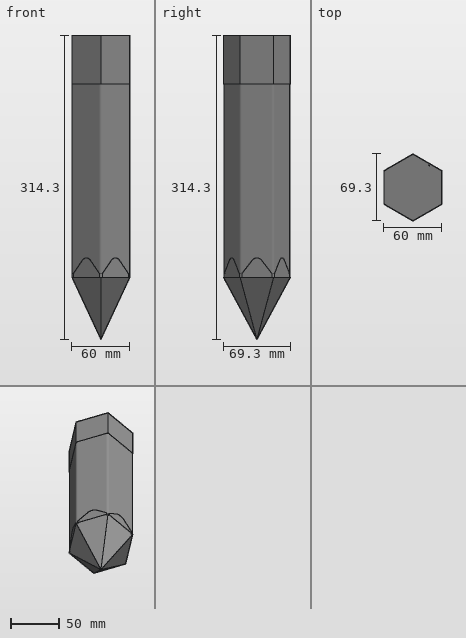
import cadquery as cq
import math

across_flats = 60.0
across_corners = across_flats / math.cos(math.radians(30))
apothem = across_flats / 2
corner_radius = across_corners / 2

point_height = 64.34
barrel_length = 200.0
cap_height = 50.0

edge_fillet = 3.0

flat_width = corner_radius - 2 * edge_fillet * math.tan(math.radians(30))
tongue_thickness = 2.0
tongue_shoulder = 3.8
tongue_slope = math.radians(52)
tongue_peak_radius = 6.0


def hexagon(bottom):
    """Hexagon sketch at height `bottom`, turned so that two flats are normal to X."""
    return (
        cq.Workplane("XY")
        .workplane(offset=bottom)
        .transformed(rotate=(0, 0, 90))
        .polygon(6, across_corners)
    )


def make_tongues():
    """Six arched tongues, each as wide as the flat between two rounded edges."""
    half_width = flat_width / 2
    flank_apex = tongue_shoulder + half_width * math.tan(tongue_slope)
    arc_center = flank_apex - tongue_peak_radius / math.cos(tongue_slope)
    arc_end_y = tongue_peak_radius * math.sin(tongue_slope)
    arc_end_z = arc_center + tongue_peak_radius * math.cos(tongue_slope)
    tongue = (
        cq.Workplane("YZ")
        .workplane(offset=apothem - tongue_thickness)
        .moveTo(-half_width, 0)
        .lineTo(half_width, 0)
        .lineTo(half_width, tongue_shoulder)
        .lineTo(arc_end_y, arc_end_z)
        .threePointArc((0, arc_center + tongue_peak_radius), (-arc_end_y, arc_end_z))
        .lineTo(-half_width, tongue_shoulder)
        .close()
        .extrude(tongue_thickness)
    )
    return [tongue.rotate((0, 0, 0), (0, 0, 1), 60 * i) for i in range(6)]


def make_point(tongues):
    """Sharp hexagonal pyramid pointing down, with the tongues standing on its base."""
    corners = [
        cq.Vector(
            corner_radius * math.cos(math.radians(30 + 60 * i)),
            corner_radius * math.sin(math.radians(30 + 60 * i)),
            0,
        )
        for i in range(6)
    ]
    apex = cq.Vector(0, 0, -point_height)
    faces = [cq.Face.makeFromWires(cq.Wire.makePolygon(corners, close=True))]
    for i in range(6):
        side = cq.Wire.makePolygon([corners[i - 1], corners[i], apex], close=True)
        faces.append(cq.Face.makeFromWires(side))
    point = cq.Workplane(cq.Solid.makeSolid(cq.Shell.makeShell(faces)))
    for tongue in tongues:
        point = point.union(tongue)
    return point


def make_barrel(tongues):
    """Long rounded hexagonal rod with a recess for each tongue."""
    barrel = hexagon(0).extrude(barrel_length).edges("|Z").fillet(edge_fillet)
    for tongue in tongues:
        barrel = barrel.cut(tongue)
    return barrel


def make_cap():
    """Sharp-edged hexagonal cap on top of the barrel."""
    return hexagon(barrel_length).extrude(cap_height)


tongues = make_tongues()
point = make_point(tongues)
barrel = make_barrel(tongues)
cap = make_cap()

result = cq.Compound.makeCompound([point.solids().val(), barrel.solids().val(), cap.val()])